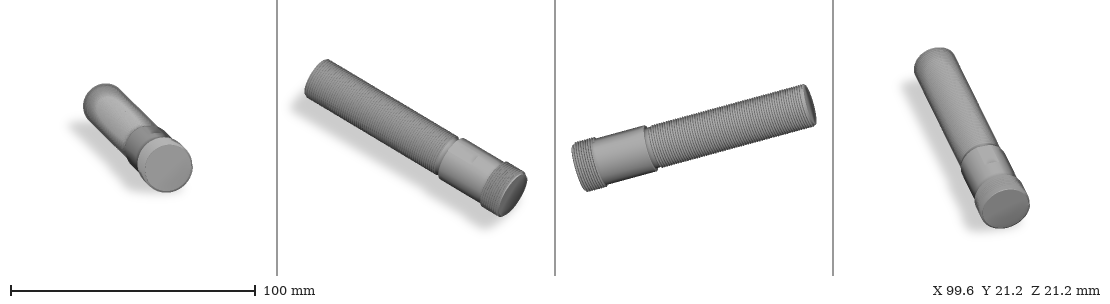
import cadquery as cq
import math

overall_length = 99.6
shoulder_x = 68.5
shoulder_chamfer = 0.2

stem_dia = 17.0
long_thread_dia = 18.1
body_dia = 19.5
end_thread_dia = 21.2

long_thread_advance = 65.9
long_thread_turns = 66
end_thread_turns = 9
pitch = long_thread_advance / long_thread_turns
tooth_base = 0.98
tooth_sink = 0.05

tooth_overhang = 0.2
body_end = overall_length - tooth_overhang

flat_width = 6.2
flat_length = 12.0


def cylinder(diameter, x_start, x_end):
    """Solid rod about the X axis."""
    return cq.Workplane("YZ", origin=(x_start, 0, 0)).circle(diameter / 2).extrude(x_end - x_start)


def thread(root_dia, crest_dia, turns, x_start):
    """Helical tooth about the X axis; its middle starts at x_start on the +Y side."""
    inner_radius = root_dia / 2 - tooth_sink
    half_base = tooth_base / 2
    path = cq.Wire.makeHelix(pitch, turns * pitch, inner_radius)
    tooth = (
        cq.Workplane("XZ")
        .polyline([(inner_radius, -half_base), (crest_dia / 2, 0), (inner_radius, half_base)])
        .close()
        .sweep(cq.Workplane(obj=path), isFrenet=True)
    )
    tooth = tooth.rotate((0, 0, 0), (0, 1, 0), 90).rotate((0, 0, 0), (1, 0, 0), 90)
    return tooth.translate((x_start, 0, 0))


def flat_cutter():
    """Block that leaves a flat of the wanted width on the top of the body."""
    body_radius = body_dia / 2
    flat_height = math.sqrt(body_radius**2 - (flat_width / 2) ** 2)
    return (
        cq.Workplane("XY", origin=(shoulder_x, 0, flat_height))
        .rect(2 * flat_length, body_dia)
        .extrude(body_radius)
    )


stem = cylinder(stem_dia, 0, body_end)
body = (
    cylinder(body_dia, shoulder_x, body_end)
    .faces("<X")
    .chamfer(shoulder_chamfer)
    .cut(flat_cutter())
)
long_thread = thread(stem_dia, long_thread_dia, long_thread_turns, tooth_base / 2)
end_thread_start = overall_length - tooth_base / 2 - end_thread_turns * pitch
end_thread = thread(body_dia, end_thread_dia, end_thread_turns, end_thread_start)

core = stem.union(body).union(end_thread, clean=False)
result = core.union(long_thread, clean=False)